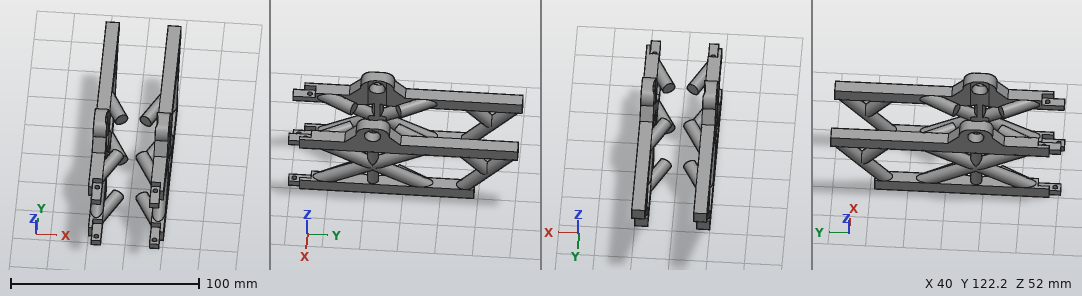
import cadquery as cq
import math


overall_width = 40.0
overall_length = 122.2
overall_height = 52.0

beam_size = 7.0
upper_beam_top = 40.0
lower_beam_length = 92.9

tab_reach = 6.0
tab_recess = 6.0
tab_width = 5.0
tab_height = 3.5
tab_hole_diameter = 2.5

lug_center_y = 39.0
lug_half_width = 8.9
lug_corner_radius = 6.0
lug_hole_diameter = 8.5

rod_diameter = 7.0
post_diameter = 6.0
cross_half_span = 31.0
untrimmed_rod_length = 61.1

clearance_radius = 13.9

outer_x = overall_width / 2
inner_x = outer_x - beam_size
beam_center_x = outer_x - beam_size / 2
tab_center_x = inner_x + tab_width / 2
lower_tab_hole_y = -tab_reach / 2
upper_tab_hole_y = tab_recess / 2
upper_beam_length = overall_length - tab_reach
upper_beam_bottom = upper_beam_top - beam_size
beam_gap = upper_beam_bottom - beam_size
middle_z = upper_beam_top / 2
lug_hole_z = overall_height - lug_corner_radius
lug_foot_half_width = lug_half_width + lug_hole_z - upper_beam_top

cross_rise = middle_z - beam_size / 2
cross_angle = math.degrees(math.atan2(cross_rise, cross_half_span))

rear_angle = math.degrees(math.atan2(beam_gap, upper_beam_length - lower_beam_length))
rear_rod_footprint = rod_diameter / math.sin(math.radians(rear_angle))
rear_joint_y = (upper_beam_length + lower_beam_length - rear_rod_footprint) / 2


def box(x_range, y_range, z_range):
    """Box spanning the given ranges."""
    spans = [high - low for low, high in (x_range, y_range, z_range)]
    corner = (x_range[0], y_range[0], z_range[0])
    return cq.Workplane("XY").box(*spans, centered=False).translate(corner)


def upright_cylinder(x, y, z_range, diameter):
    """Cylinder along Z."""
    low, high = z_range
    return cq.Workplane("XY", origin=(x, y, low)).circle(diameter / 2).extrude(high - low)


def rod(start, direction):
    """Round rod, longer than needed, to be trimmed at the beam faces."""
    plane = cq.Plane(origin=start, normal=direction)
    return cq.Workplane(plane).circle(rod_diameter / 2).extrude(untrimmed_rod_length)


def beam(bottom_z, length):
    """Square beam along Y."""
    return box((inner_x, outer_x), (0, length), (bottom_z, bottom_z + beam_size))


def lug():
    """Lug with sloping feet and rounded upper corners on the upper beam."""
    corner_y = lug_half_width - lug_corner_radius
    arc_offset = lug_corner_radius / math.sqrt(2)
    arc_y = corner_y + arc_offset
    arc_z = lug_hole_z + arc_offset
    return (
        cq.Workplane("YZ", origin=(inner_x, lug_center_y, 0))
        .moveTo(-lug_foot_half_width, upper_beam_top)
        .lineTo(-lug_half_width, lug_hole_z)
        .threePointArc((-arc_y, arc_z), (-corner_y, overall_height))
        .lineTo(corner_y, overall_height)
        .threePointArc((arc_y, arc_z), (lug_half_width, lug_hole_z))
        .lineTo(lug_foot_half_width, upper_beam_top)
        .close()
        .extrude(beam_size)
    )


def lug_hole():
    """Cross hole through the lug."""
    return (
        cq.Workplane("YZ", origin=(inner_x, lug_center_y, lug_hole_z))
        .circle(lug_hole_diameter / 2)
        .extrude(beam_size)
    )


def add_tab(frame, bottom_z, hole_y):
    """Recess a beam's front end and leave a drilled tab reaching out of it."""
    tab_x = (inner_x, inner_x + tab_width)
    tab_top = bottom_z + tab_height
    recess = box(tab_x, (0, tab_recess), (tab_top, bottom_z + beam_size))
    tab = box(tab_x, (-tab_reach, tab_recess), (bottom_z, tab_top))
    hole = upright_cylinder(tab_center_x, hole_y, (bottom_z, tab_top), tab_hole_diameter)
    return frame.cut(recess).union(tab).cut(hole)


def upright_rods():
    """Crossing rods, post and rear brace between the lower and upper beams."""
    cross_center = (beam_center_x, lug_center_y, middle_z)
    rear_joint = (beam_center_x, rear_joint_y, middle_z)
    rods = upright_cylinder(beam_center_x, lug_center_y, (0, upper_beam_top), post_diameter)

    cross_y = math.cos(math.radians(cross_angle))
    cross_z = math.sin(math.radians(cross_angle))
    for y_sign in (-1, 1):
        for z_sign in (-1, 1):
            rods = rods.union(rod(cross_center, (0, y_sign * cross_y, z_sign * cross_z)))

    rear_y = math.cos(math.radians(rear_angle))
    rear_z = math.sin(math.radians(rear_angle))
    rear_rod = rod(rear_joint, (0, rear_y, rear_z)).union(rod(rear_joint, (0, -rear_y, -rear_z)))
    branch = rod(rear_joint, (0, -rear_y, rear_z))
    rods = rods.union(rear_rod).union(branch)

    gap = box((inner_x, outer_x), (0, upper_beam_length), (beam_size, upper_beam_bottom))
    return rods.intersect(gap)


def side_rods(beam_bottom_z):
    """Pair of level rods that lean from a beam towards the symmetry plane."""
    center = (0, lug_center_y, beam_bottom_z + beam_size / 2)
    side_x = math.sin(math.radians(cross_angle))
    side_y = math.cos(math.radians(cross_angle))
    rods = rod(center, (side_x, side_y, 0)).union(rod(center, (side_x, -side_y, 0)))
    inner_space = box(
        (0, beam_center_x),
        (0, upper_beam_length),
        (beam_bottom_z, beam_bottom_z + beam_size),
    )
    return rods.intersect(inner_space)


def side_frame():
    """Frame on the +X side."""
    frame = (
        beam(0, lower_beam_length)
        .union(beam(upper_beam_bottom, upper_beam_length))
        .union(lug())
        .union(upright_rods())
        .union(side_rods(0))
        .union(side_rods(upper_beam_bottom))
    )
    frame = add_tab(frame, 0, lower_tab_hole_y)
    frame = add_tab(frame, upper_beam_bottom, upper_tab_hole_y)
    clearance = upright_cylinder(0, lug_center_y, (0, overall_height), 2 * clearance_radius)
    return frame.cut(lug_hole()).cut(clearance)


right_frame = side_frame()
left_frame = right_frame.mirror("YZ")

result = cq.Compound.makeCompound([right_frame.solids().val(), left_frame.solids().val()])